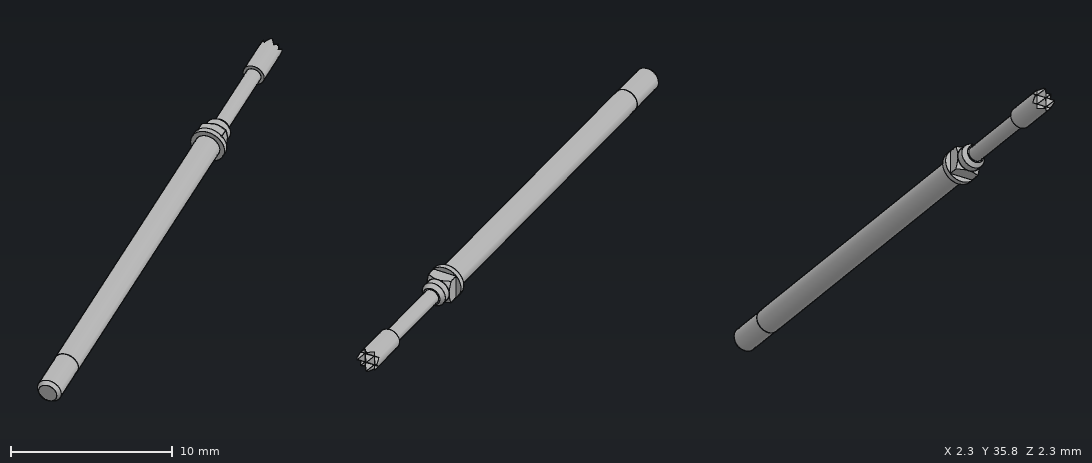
import cadquery as cq

total_length = 35.8
tip_y = total_length / 2
tail_y = -total_length / 2

head_diameter = 1.43
head_length = 2.97
shaft_diameter = 1.0
collar_distance = 8.27

point_pitch = 0.65
groove_depth = 0.45

body_diameter = 1.65
collar_front_diameter = 1.18
collar_cone_length = 0.3
collar_round_length = 0.5
square_width = 1.6
square_cone_length = 0.25

flange_diameter = 2.3
flange_thickness = 0.35
flange_distance = 9.95

tail_length = 2.97
tail_diameter = 1.6
tail_chamfer_length = 0.25
tail_end_diameter = 1.2

collar_front_y = tip_y - collar_distance
round_front_y = collar_front_y - collar_cone_length
square_front_y = round_front_y - collar_round_length
flange_front_y = tip_y - flange_distance
flange_back_y = flange_front_y - flange_thickness


def turned(profile):
    """Revolve (radius, y) points about the Y axis, closing the profile on the axis."""
    start_y = profile[0][1]
    end_y = profile[-1][1]
    outline = [(0, start_y)] + profile + [(0, end_y)]
    return cq.Workplane("XY").polyline(outline).close().revolve(360, (0, 0, 0), (0, 1, 0))


def plunger():
    head_back_y = tip_y - head_length
    return turned([
        (head_diameter / 2, tip_y),
        (head_diameter / 2, head_back_y),
        (shaft_diameter / 2, head_back_y),
        (shaft_diameter / 2, collar_front_y),
    ])


def crown_grooves():
    """V grooves on both sides of every point, along X and along Z."""
    groove_half_width = point_pitch / 2
    groove_floor_y = tip_y - groove_depth
    grooves = cq.Workplane("XY")
    for step in (-1.5, -0.5, 0.5, 1.5):
        groove_middle = step * point_pitch
        along_z = (
            cq.Workplane("XY")
            .polyline([
                (groove_middle - groove_half_width, tip_y),
                (groove_middle, groove_floor_y),
                (groove_middle + groove_half_width, tip_y),
            ])
            .close()
            .extrude(head_diameter, both=True)
        )
        along_x = along_z.rotate((0, 0, 0), (0, 1, 0), 90)
        grooves = grooves.add(along_z).add(along_x)
    return grooves.combine()


def barrel():
    """Round collar front, stop flange and the long body with its tail plug."""
    body_radius = body_diameter / 2
    square_radius = square_width / 2
    return turned([
        (collar_front_diameter / 2, collar_front_y),
        (body_radius, round_front_y),
        (body_radius, square_front_y),
        (square_radius, square_front_y),
        (square_radius, flange_front_y),
        (flange_diameter / 2, flange_front_y),
        (flange_diameter / 2, flange_back_y),
        (body_radius, flange_back_y),
        (body_radius, tail_y + tail_length),
        (tail_diameter / 2, tail_y + tail_length),
        (tail_diameter / 2, tail_y + tail_chamfer_length),
        (tail_end_diameter / 2, tail_y),
    ])


def square_collar():
    """Square section whose corners are trimmed by a cone at the front and the flange outline."""
    square_length = square_front_y - flange_back_y
    square = cq.Workplane("XY").box(square_width, square_length, square_width)
    square = square.translate((0, (square_front_y + flange_back_y) / 2, 0))
    trim = turned([
        (square_width / 2, square_front_y),
        (flange_diameter / 2, square_front_y - square_cone_length),
        (flange_diameter / 2, flange_back_y),
    ])
    return square.intersect(trim)


result = plunger().cut(crown_grooves()).union(barrel()).union(square_collar())